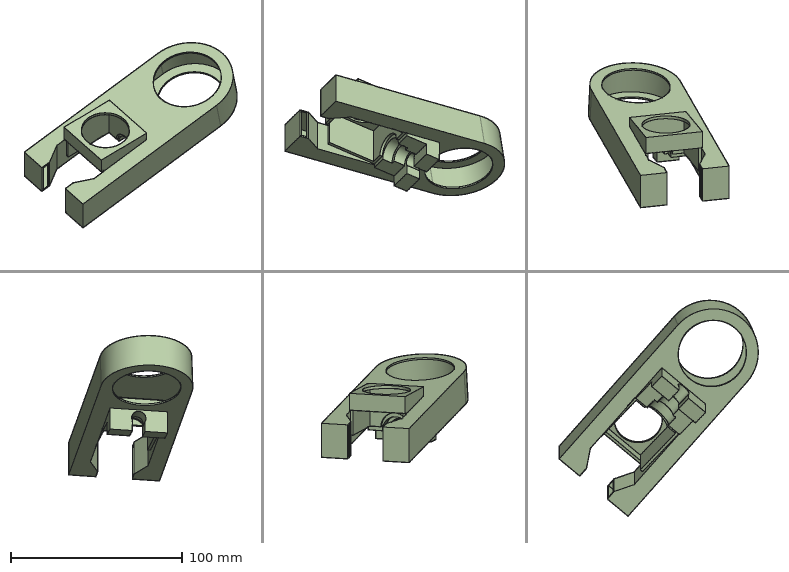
import cadquery as cq
import math

LENGTH = 130.6
ARM_WIDTH = 54.0
ARM_THICKNESS = 20.0
SKIN = 1.0
TILT = 9.1
FRONT_BOTTOM_Z = 0.5
EYE_RADIUS = 20.0

NECK_WIDTH = 21.5
NECK_DEPTH = 5.9
FLARE_END = 16.5

BOX_SIZE = 34.2
BOX_WALL = 1.7
BOX_FRONT = 22.0
BOX_BACK = BOX_FRONT + BOX_SIZE
BOX_BOTTOM = 10.2
BOX_TOP = 35.3
FRONT_WALL_HEIGHT = 10.0
BOX_HOLE_RADIUS = 14.0

BRACKET_BACK = 78.9
BRACKET_BOTTOM = 7.6
BRACKET_TOP = 20.0
LIP_FRONT = 70.0

BORE_Z = 8.1
WALL_BORE_RADIUS = 8.6
WALL_BORE_Z = 10.3
ENTRY_RADIUS = 8.2
ENTRY_DEPTH = 6.5
MIDDLE_RADIUS = 6.0
LIP_BORE_RADIUS = 4.2
LIP_SLOT_WIDTH = 7.6

TALL = 2 * LENGTH
EYE_ALONG_ARM = LENGTH / math.cos(math.radians(TILT)) - ARM_WIDTH / 2


def block(width, y_start, y_end, z_start, z_end):
    """Box centred on X between the given Y and Z limits."""
    return cq.Workplane("XY").box(
        width, y_end - y_start, z_end - z_start, centered=(True, False, False)
    ).translate((0, y_start, z_start))


def tilted_cylinder(radius, z_start, z_end):
    """Cylinder around the eye axis, in the untilted frame of the arm."""
    return (
        cq.Workplane("XY", origin=(0, EYE_ALONG_ARM, z_start))
        .circle(radius)
        .extrude(z_end - z_start)
    )


def tilt(body):
    """Tilt about the front edge and lift to the final height."""
    return body.rotate((0, 0, 0), (1, 0, 0), TILT).translate((0, 0, FRONT_BOTTOM_Z))


def round_ended_slab(inset):
    """Tilted slab with a round end, its skin removed to the given depth."""
    z_start = inset
    z_end = ARM_THICKNESS - inset
    radius = ARM_WIDTH / 2 - inset
    slab = block(2 * radius, -ARM_THICKNESS, EYE_ALONG_ARM, z_start, z_end)
    slab = slab.union(tilted_cylinder(radius, z_start, z_end))
    return tilt(slab).intersect(block(TALL, inset, TALL, -TALL, TALL))


def flared_pocket():
    """Vertical prism of the wide pocket and its flare towards the neck."""
    half_neck = NECK_WIDTH / 2
    half_box = BOX_SIZE / 2
    outline = [
        (-half_neck, NECK_DEPTH),
        (half_neck, NECK_DEPTH),
        (half_box, FLARE_END),
        (half_box, BOX_BACK),
        (-half_box, BOX_BACK),
        (-half_box, FLARE_END),
    ]
    return cq.Workplane("XY", origin=(0, 0, -LENGTH)).polyline(outline).close()


def make_arm():
    pocket_with_skin = flared_pocket().offset2D(SKIN, "intersection").extrude(TALL)
    hollow = round_ended_slab(SKIN).cut(pocket_with_skin)
    eye = tilt(tilted_cylinder(EYE_RADIUS, -ARM_THICKNESS, 2 * ARM_THICKNESS))
    neck = block(NECK_WIDTH, -1.3, NECK_DEPTH, -LENGTH, LENGTH)
    return (
        round_ended_slab(0)
        .cut(hollow)
        .cut(flared_pocket().extrude(TALL))
        .cut(neck)
        .cut(eye)
    )


def make_box():
    inner_width = BOX_SIZE - 2 * BOX_WALL
    inner_front = BOX_FRONT + BOX_WALL
    inner_back = BOX_BACK - BOX_WALL
    hole = (
        cq.Workplane("XY", origin=(0, BOX_FRONT + BOX_SIZE / 2, BOX_BOTTOM))
        .circle(BOX_HOLE_RADIUS)
        .extrude(TALL)
    )
    return (
        block(BOX_SIZE, BOX_FRONT, BOX_BACK, BOX_BOTTOM, BOX_TOP)
        .cut(block(inner_width, inner_front, inner_back, BOX_BOTTOM, BOX_TOP - BOX_WALL))
        .cut(block(BOX_SIZE, BOX_FRONT, inner_front, BOX_BOTTOM, BOX_TOP - FRONT_WALL_HEIGHT))
        .cut(hole)
    )


def make_bracket():
    shelf = block(BOX_SIZE, BOX_BACK, BRACKET_BACK, BRACKET_BOTTOM, BRACKET_TOP)
    lip = block(BOX_SIZE, LIP_FRONT, BRACKET_BACK, 0, BRACKET_TOP)
    return shelf.union(lip)


def bore(radius, y_start, y_end, z):
    return (
        cq.Workplane("XZ", origin=(0, y_start, z))
        .circle(radius)
        .extrude(y_start - y_end)
    )


result = make_arm().union(make_box()).union(make_bracket())

ENTRY_END = BOX_BACK + ENTRY_DEPTH
result = (
    result.cut(bore(WALL_BORE_RADIUS, BOX_BACK - BOX_WALL, BOX_BACK, WALL_BORE_Z))
    .cut(bore(ENTRY_RADIUS, BOX_BACK, ENTRY_END, BORE_Z))
    .cut(bore(MIDDLE_RADIUS, ENTRY_END, LIP_FRONT, BORE_Z))
    .cut(bore(LIP_BORE_RADIUS, LIP_FRONT, BRACKET_BACK, BORE_Z))
    .cut(block(LIP_SLOT_WIDTH, LIP_FRONT, BRACKET_BACK, 0, BORE_Z))
)